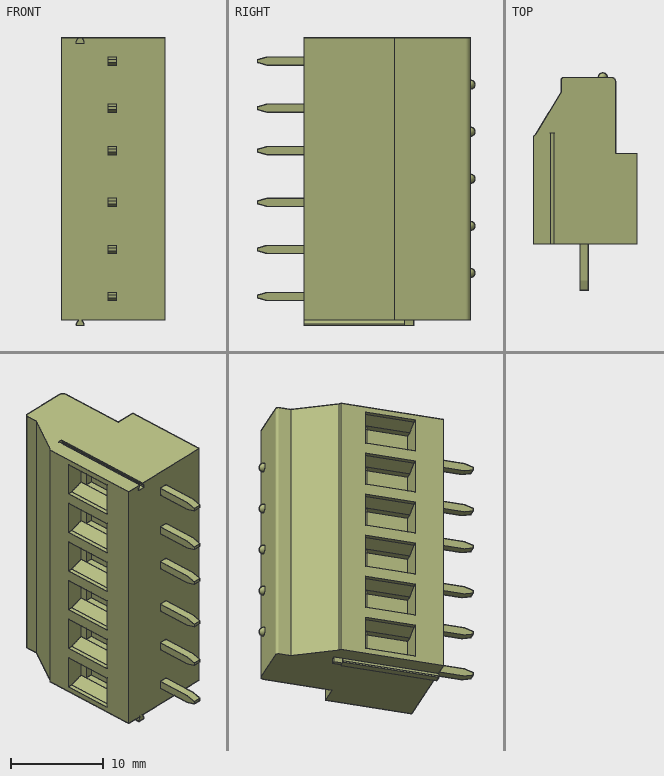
import cadquery as cq


overall_length = 31.08
housing_length = 30.5
pole_count = 6
pitch = housing_length / pole_count

base_depth = 11.2
base_height = 9.8
housing_height = 18.0
head_front = 2.98
head_back = 8.9
slope_top = 16.38
slope_bottom = 11.8
slope_front = 0.22
face_top = 11.62
front_corner_radius = 0.3
back_corner_radius = 0.5

window_bottom = 3.2
window_width = 5.65
window_length = 3.82
window_land = 0.5
funnel_depth = 2.0
throat_depth = 2.77
funnel_inset = 0.53
throat_inset = 0.78

pin_width = 0.9
pin_length = 5.0
pin_taper = 1.03
pin_tip = 0.3
pin_x = 5.47
shifted_pin = 3
pin_shift = 0.5
pin_root = 0.3

dovetail_x = 2.02
neck_width = 0.4
dovetail_width = 0.87
rail_height = overall_length - housing_length
rail_flare = 0.45
rail_foot_width = 0.8
dovetail_end = 10.88
rail_end = 11.87
groove_depth = 0.65
groove_flare = 0.45
groove_end = 11.97

bump_radius = 0.5
bump_x = 7.5


def pole_center(pole):
    return (pole + 0.5) * pitch


def make_housing():
    """Stepped prism with a sloped face and rounded head corners."""
    outline = [
        (0, 0),
        (base_depth, 0),
        (base_depth, base_height),
        (head_back, base_height),
        (head_back, housing_height),
        (head_front, housing_height),
        (head_front, slope_top),
        (slope_front, slope_bottom),
        (0, face_top),
    ]
    housing = cq.Workplane("XY").polyline(outline).close().extrude(housing_length)
    for corner_x, radius in ((head_front, front_corner_radius), (head_back, back_corner_radius)):
        corner = cq.selectors.NearestToPointSelector((corner_x, housing_height, housing_length / 2))
        housing = housing.edges(corner).fillet(radius)
    return housing


def make_window(pole):
    """Wire entry: a straight land, a funnel narrowing along Z, then a throat."""
    center = pole_center(pole)
    half_mouth = window_length / 2
    half_throat = half_mouth - funnel_inset
    funnel_outline = [
        (0, center - half_mouth),
        (window_land, center - half_mouth),
        (funnel_depth, center - half_throat),
        (funnel_depth, center + half_throat),
        (window_land, center + half_mouth),
        (0, center + half_mouth),
    ]
    funnel = (
        cq.Workplane("XZ", origin=(0, window_bottom, 0))
        .polyline(funnel_outline)
        .close()
        .extrude(-window_width)
    )
    throat = cq.Workplane("XY").box(
        throat_depth, window_width - throat_inset, 2 * half_throat, centered=(False, False, True)
    )
    return funnel.union(throat.translate((0, window_bottom, center)))


def make_pin(pole):
    """Square pin below the housing, tapered along Z at its free end."""
    center = pole_center(pole)
    if pole == shifted_pin:
        center += pin_shift
    outline = [
        (pin_root, -pin_width / 2),
        (pin_root, pin_width / 2),
        (pin_taper - pin_length, pin_width / 2),
        (-pin_length, pin_tip / 2),
        (-pin_length, -pin_tip / 2),
        (pin_taper - pin_length, -pin_width / 2),
    ]
    pin = cq.Workplane("YZ").polyline(outline).close().extrude(pin_width / 2, both=True)
    return pin.translate((pin_x, 0, center))


def symmetric_bar(half_outline, length):
    """Bar along +Y whose section mirrors (half width, Z) points about the dovetail center."""
    right_side = [(dovetail_x + half, z) for half, z in half_outline]
    left_side = [(dovetail_x - half, z) for half, z in reversed(half_outline)]
    return cq.Workplane("XZ").polyline(right_side + left_side).close().extrude(-length)


def make_rail():
    """Dovetail rail with a plain stem running on past its closed end."""
    dovetail = symmetric_bar(
        [
            (neck_width / 2, 0),
            (dovetail_width / 2, -rail_flare),
            (rail_foot_width / 2, -rail_height),
        ],
        dovetail_end,
    )
    stem = symmetric_bar([(neck_width / 2, 0), (neck_width / 2, -rail_height)], rail_end)
    return dovetail.union(stem)


def make_groove():
    """Cutter for the dovetail groove at the end opposite the rail."""
    return symmetric_bar(
        [
            (neck_width / 2, housing_length),
            (dovetail_width / 2, housing_length - groove_flare),
            (dovetail_width / 2, housing_length - groove_depth),
        ],
        groove_end,
    )


def make_bump(joint):
    """Ball whose upper half stands out of the head where two poles meet."""
    return cq.Workplane("XY").sphere(bump_radius).translate((bump_x, housing_height, joint * pitch))


result = make_housing().union(make_rail()).cut(make_groove())
for pole in range(pole_count):
    result = result.cut(make_window(pole)).union(make_pin(pole))
for joint in range(1, pole_count):
    result = result.union(make_bump(joint))